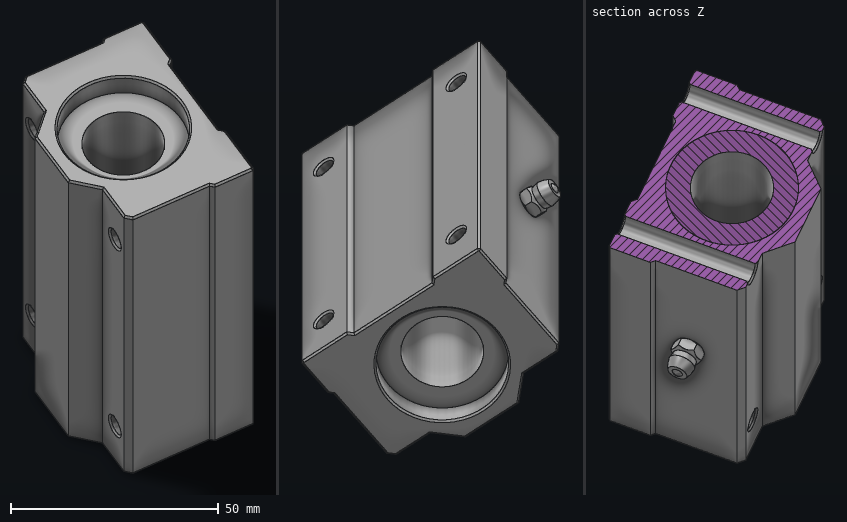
import cadquery as cq
import math


EDGE_CHAMFER = 0.5

LENGTH = 96.0
WIDTH = 54.0
BASE_Y = 21.0
KEEL_Y = -20.0
SHELF_Y = -13.9
KEEL_WIDTH = 16.1
FLANGE_Y = 10.0
SIDE_STEP = 1.0
SHELF_CORNER = 1.6
BASE_CORNER = EDGE_CHAMFER
RELIEF_WIDTH = 26.0
RELIEF_DEPTH = 1.2

BORE_DIAMETER = 32.0
SLEEVE_RECESS = 6.0
SHAFT_DIAMETER = 20.0
SLEEVE_LENGTH = LENGTH - 2 * SLEEVE_RECESS

HOLE_DIAMETER = 5.2
HOLE_SPACING_X = 40.0
HOLE_SPACING_Z = 70.0

SIDE_X = WIDTH / 2 - SIDE_STEP
HEX_ACROSS_FLATS = 7.0
NECK_DISTANCE = 3.4
NECK_RADIUS = 3.1
HEAD_DISTANCE = 5.1
HEAD_RADIUS = 3.4
TIP_FACE_DISTANCE = 7.9
TIP_FACE_RADIUS = 2.5
HEAD_BULGE = 0.14
BALL_CAP_RADIUS = 1.3
NIPPLE_LENGTH = 8.5


def housing_blank():
    """Extruded profile with chamfered ends."""
    half_width = WIDTH / 2
    half_relief = RELIEF_WIDTH / 2
    half_keel = KEEL_WIDTH / 2
    keel_height = SHELF_Y - KEEL_Y
    right_half = [
        (half_relief - RELIEF_DEPTH, BASE_Y - RELIEF_DEPTH),
        (half_relief, BASE_Y),
        (half_width - BASE_CORNER, BASE_Y),
        (half_width, BASE_Y - BASE_CORNER),
        (half_width, FLANGE_Y),
        (SIDE_X, FLANGE_Y - SIDE_STEP),
        (SIDE_X, SHELF_Y + SHELF_CORNER),
        (SIDE_X - SHELF_CORNER, SHELF_Y),
        (half_keel + keel_height, SHELF_Y),
        (half_keel, KEEL_Y),
    ]
    left_half = [(-x, y) for x, y in reversed(right_half)]
    blank = (
        cq.Workplane("XY")
        .polyline(right_half + left_half)
        .close()
        .extrude(LENGTH / 2, both=True)
    )
    return blank.faces("<Z or >Z").chamfer(EDGE_CHAMFER)


def make_housing():
    housing = housing_blank()
    bore = cq.Workplane("XY").circle(BORE_DIAMETER / 2).extrude(LENGTH / 2, both=True)
    housing = housing.cut(bore)
    housing = housing.edges(cq.selectors.RadiusNthSelector(0)).chamfer(EDGE_CHAMFER)
    for x in (-HOLE_SPACING_X / 2, HOLE_SPACING_X / 2):
        for z in (-HOLE_SPACING_Z / 2, HOLE_SPACING_Z / 2):
            housing = housing.cut(mounting_hole(x, z))
    return housing


def mounting_hole(x, z):
    """Cutter for one hole from shelf to mounting face, chamfered at both mouths."""
    radius = HOLE_DIAMETER / 2
    mouth_radius = radius + EDGE_CHAMFER
    half_section = [
        (0, SHELF_Y),
        (mouth_radius, SHELF_Y),
        (radius, SHELF_Y + EDGE_CHAMFER),
        (radius, BASE_Y - EDGE_CHAMFER),
        (mouth_radius, BASE_Y),
        (0, BASE_Y),
    ]
    cutter = cq.Workplane("XY").polyline(half_section).close().revolve(360, (0, 0), (0, 1))
    return cutter.translate((x, 0, z))


def make_sleeve():
    return (
        cq.Workplane("XY")
        .circle(BORE_DIAMETER / 2)
        .circle(SHAFT_DIAMETER / 2)
        .extrude(SLEEVE_LENGTH / 2, both=True)
    )


def nipple_hex():
    """Hexagon with flats facing up and down, its corners turned off at 45 degrees on both ends."""
    flat_radius = HEX_ACROSS_FLATS / 2
    corner_radius = flat_radius / math.cos(math.pi / 6)
    corner_chamfer = corner_radius - flat_radius
    hexagon = (
        cq.Workplane("YZ", origin=(-SIDE_X, 0, 0))
        .polygon(6, 2 * corner_radius)
        .extrude(-NECK_DISTANCE)
    )
    turned_section = [
        (-SIDE_X, 0),
        (-SIDE_X, flat_radius),
        (-SIDE_X - corner_chamfer, corner_radius),
        (-SIDE_X - NECK_DISTANCE + corner_radius - NECK_RADIUS, corner_radius),
        (-SIDE_X - NECK_DISTANCE, NECK_RADIUS),
        (-SIDE_X - NECK_DISTANCE, 0),
    ]
    turned = cq.Workplane("XY").polyline(turned_section).close().revolve(360, (0, 0), (1, 0))
    return hexagon.intersect(turned)


def nipple_head():
    """Head that widens from the neck, then curves in to a flat face with a domed ball in its middle."""
    cap_height = NIPPLE_LENGTH - TIP_FACE_DISTANCE
    ball_radius = (BALL_CAP_RADIUS**2 + cap_height**2) / (2 * cap_height)
    middle_angle = math.asin(BALL_CAP_RADIUS / ball_radius) / 2
    cap_middle = (
        -SIDE_X - NIPPLE_LENGTH + ball_radius * (1 - math.cos(middle_angle)),
        ball_radius * math.sin(middle_angle),
    )
    return (
        cq.Workplane("XY")
        .moveTo(-SIDE_X - NECK_DISTANCE, 0)
        .lineTo(-SIDE_X - NECK_DISTANCE, NECK_RADIUS)
        .lineTo(-SIDE_X - HEAD_DISTANCE, HEAD_RADIUS)
        .sagittaArc((-SIDE_X - TIP_FACE_DISTANCE, TIP_FACE_RADIUS), -HEAD_BULGE)
        .lineTo(-SIDE_X - TIP_FACE_DISTANCE, BALL_CAP_RADIUS)
        .threePointArc(cap_middle, (-SIDE_X - NIPPLE_LENGTH, 0))
        .close()
        .revolve(360, (0, 0), (1, 0))
    )


def make_nipple():
    return nipple_hex().union(nipple_head())


housing = make_housing().solids()
sleeve = make_sleeve().solids()
nipple = make_nipple().solids()

result = cq.Compound.makeCompound([housing.val(), sleeve.val(), nipple.val()])